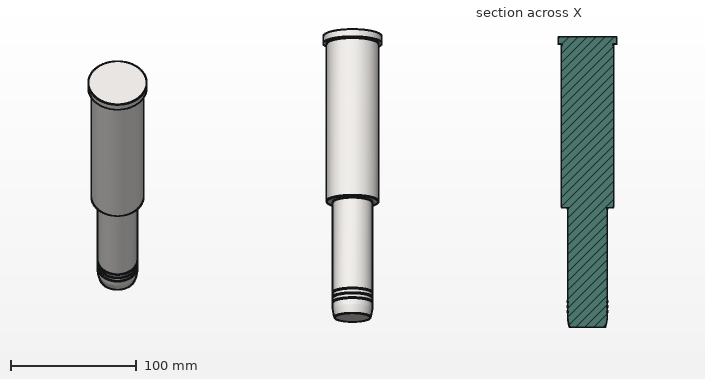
import cadquery as cq

total_length = 231.0

head_diameter = 47.0
head_thickness = 6.0
head_chamfer = 0.5

body_diameter = 42.0
body_chamfer = 0.7
pin_diameter = 31.9
pin_length = 95.0

head_neck_width = 1.2
head_neck_depth = 0.7
shoulder_neck_width = 0.7
shoulder_neck_depth = 0.5

tip_length = 7.5
tip_end_diameter = 29.0
tip_arc_radius = 27.7
tip_chamfer = 0.58

groove_count = 3
groove_width = 1.2
groove_depth = 0.35
groove_pitch = 4.0
first_groove_height = 12.5

head_radius = head_diameter / 2
body_radius = body_diameter / 2
pin_radius = pin_diameter / 2
tip_end_radius = tip_end_diameter / 2
head_underside = total_length - head_thickness


def make_cylinder(radius, bottom, top):
    return cq.Workplane("XY").workplane(offset=bottom).circle(radius).extrude(top - bottom)


def make_head():
    """Flange with its top rim broken by a small chamfer."""
    return make_cylinder(head_radius, head_underside, total_length).faces(">Z").edges().chamfer(head_chamfer)


def make_body():
    """Thick shank, chamfered at its lower shoulder."""
    return make_cylinder(body_radius, pin_length, head_underside).faces("<Z").edges().chamfer(body_chamfer)


def make_pin():
    """Slim pin whose tip narrows along a slightly bulging arc, ending in a chamfer."""
    return (
        cq.Workplane("XZ")
        .moveTo(0, pin_length)
        .lineTo(pin_radius, pin_length)
        .lineTo(pin_radius, tip_length)
        .radiusArc((tip_end_radius, tip_chamfer), tip_arc_radius)
        .lineTo(tip_end_radius - tip_chamfer, 0)
        .lineTo(0, 0)
        .close()
        .revolve(360, (0, 0, 0), (0, 1, 0))
    )


def make_v_ring(radius, middle, width, depth):
    """V-shaped ring that cuts into a cylinder of the given radius around the given height."""
    return (
        cq.Workplane("XZ")
        .moveTo(radius, middle - width / 2)
        .lineTo(radius - depth, middle)
        .lineTo(radius, middle + width / 2)
        .close()
        .revolve(360, (0, 0, 0), (0, 1, 0))
    )


def make_neck(radius, top, width, depth):
    """V-shaped neck cut into a cylinder right below the given height."""
    return make_v_ring(radius, top - width / 2, width, depth)


shoulder_neck = make_neck(pin_radius, pin_length, shoulder_neck_width, shoulder_neck_depth)
pin = make_pin().cut(shoulder_neck)

for index in range(groove_count):
    groove_middle = first_groove_height + index * groove_pitch
    pin = pin.cut(make_v_ring(pin_radius, groove_middle, groove_width, groove_depth))

head_neck = make_neck(body_radius, head_underside, head_neck_width, head_neck_depth)
body = make_body().cut(head_neck)

result = pin.union(body).union(make_head())